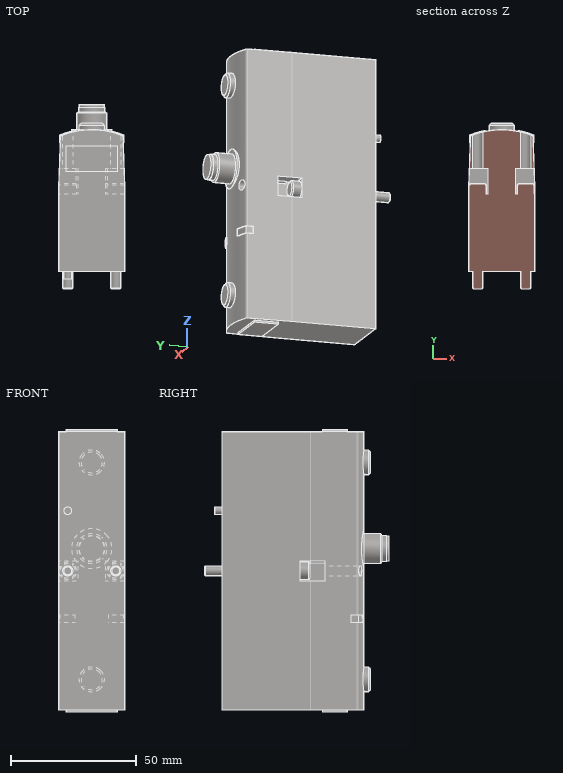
import cadquery as cq

WIDTH = 26.3
HEIGHT = 112.5
PLATE_THICKNESS = 0.8
BODY_HEIGHT = HEIGHT - 2 * PLATE_THICKNESS
HALF_WIDTH = WIDTH / 2

TAPER_START = 35.2
DOME_EDGE_Y = 54.1
DOME_EDGE_HALF_WIDTH = 12.5
DOME_EDGE_FILLET = 0.6
DOME_TOP_Y = 56.6

PLATE_WIDTH = 20.5
PLATE_LENGTH = 10.0
PLATE_Y = 45.0

SCREW_X = 9.6
SCREW_DIAMETER = 4.0
SCREW_LENGTH = 7.0
SCREW_CHAMFER = 0.5
HEAD_DIAMETER = 7.0
HEAD_HEIGHT = 4.0
HEAD_CHAMFER = 0.6
PIN_DIAMETER = 3.0
PIN_LENGTH = 2.9
PIN_Z = 24.0

POCKET_SIZE = 8.0
POCKET_LENGTH = 10.0
POCKET_START_Y = 31.0
ACCESS_DIAMETER = 4.0

CONNECTOR_Z = 8.9
SEAT_DIAMETER = 16.0
COLLAR_DIAMETER = 12.0
COLLAR_END_Y = 63.2
COLLAR_TAPER = 0.5
NECK_DIAMETER = 10.5
NECK_END_Y = 65.5
TIP_DIAMETER = 10.0
TIP_END_Y = 66.6

BUTTON_DIAMETER = 10.0
BUTTON_TOP_Y = 59.2
BUTTON_CHAMFER = 0.84
BUTTON_Z = 43.2

CLIP_THICKNESS = 0.3
CLIP_HEIGHT = 2.9
CLIP_Z = -19.0
CLIP_START_Y = 51.4
CLIP_INNER_X = 6.8


def body_block(height, offset=0.0):
    """Extruded body section, with the tapered sides and the dome pushed outwards by offset."""
    edge = DOME_EDGE_HALF_WIDTH + offset
    return (
        cq.Workplane("XY")
        .moveTo(-HALF_WIDTH, 0)
        .lineTo(HALF_WIDTH, 0)
        .lineTo(HALF_WIDTH, TAPER_START)
        .lineTo(edge, DOME_EDGE_Y + offset)
        .threePointArc((0, DOME_TOP_Y + offset), (-edge, DOME_EDGE_Y + offset))
        .lineTo(-HALF_WIDTH, TAPER_START)
        .close()
        .extrude(height / 2, both=True)
    )


def body():
    """Plain body with rounded edges between the dome and the sides."""
    edge_region = cq.selectors.BoxSelector(
        (-HALF_WIDTH, DOME_EDGE_Y - DOME_EDGE_FILLET, -BODY_HEIGHT),
        (HALF_WIDTH, DOME_EDGE_Y + DOME_EDGE_FILLET, BODY_HEIGHT),
    )
    return body_block(BODY_HEIGHT).edges("|Z").edges(edge_region).fillet(DOME_EDGE_FILLET)


def rod(diameter, start_y, end_y, x=0.0, z=0.0):
    """Cylinder along Y from start_y to end_y."""
    axis = cq.Vector(0, 1, 0)
    start = cq.Vector(x, start_y, z)
    return cq.Workplane(cq.Solid.makeCylinder(diameter / 2, end_y - start_y, start, axis))


def plates():
    """One slab through the body that stands proud at the top and bottom."""
    return cq.Workplane("XY").box(PLATE_WIDTH, PLATE_LENGTH, HEIGHT).translate((0, PLATE_Y, 0))


def pocket(x):
    """Open side pocket with a driver hole running out through the dome."""
    space = (
        cq.Workplane("XY")
        .box(POCKET_SIZE, POCKET_LENGTH, POCKET_SIZE)
        .translate((x, POCKET_START_Y + POCKET_LENGTH / 2, 0))
    )
    return space.union(rod(ACCESS_DIAMETER, POCKET_START_Y, DOME_TOP_Y, x))


def screw(x):
    """Screw through the body: chamfered tip in front, head inside the pocket."""
    shank = rod(SCREW_DIAMETER, -SCREW_LENGTH, POCKET_START_Y, x)
    shank = shank.faces("<Y").chamfer(SCREW_CHAMFER)
    head = rod(HEAD_DIAMETER, POCKET_START_Y, POCKET_START_Y + HEAD_HEIGHT, x)
    return shank.union(head.faces(">Y").chamfer(HEAD_CHAMFER))


def connector():
    """Round seat let into the dome, carrying a collar, a neck and a tip."""
    seat = rod(SEAT_DIAMETER, TAPER_START, DOME_TOP_Y, z=CONNECTOR_Z)
    collar = rod(COLLAR_DIAMETER, DOME_TOP_Y, COLLAR_END_Y, z=CONNECTOR_Z)
    taper = cq.Solid.makeCone(
        COLLAR_DIAMETER / 2,
        NECK_DIAMETER / 2,
        COLLAR_TAPER,
        cq.Vector(0, COLLAR_END_Y, CONNECTOR_Z),
        cq.Vector(0, 1, 0),
    )
    neck = rod(NECK_DIAMETER, COLLAR_END_Y, NECK_END_Y, z=CONNECTOR_Z)
    tip = rod(TIP_DIAMETER, NECK_END_Y, TIP_END_Y, z=CONNECTOR_Z)
    return seat.union(collar).union(cq.Workplane(taper)).union(neck).union(tip)


def button(z):
    """Chamfered round button standing on the dome."""
    return rod(BUTTON_DIAMETER, TAPER_START, BUTTON_TOP_Y, z=z).faces(">Y").chamfer(BUTTON_CHAMFER)


def clips():
    """Pair of clips that follow the body section around both back edges."""
    shell = body_block(CLIP_HEIGHT, CLIP_THICKNESS).translate((0, 0, CLIP_Z))
    clip_width = HALF_WIDTH - CLIP_INNER_X
    clip_length = DOME_TOP_Y - CLIP_START_Y
    center_x = CLIP_INNER_X + clip_width / 2
    center_y = CLIP_START_Y + clip_length / 2
    zone = (
        cq.Workplane("XY")
        .pushPoints([(-center_x, center_y), (center_x, center_y)])
        .rect(clip_width, clip_length)
        .extrude(BODY_HEIGHT / 2, both=True)
    )
    return shell.intersect(zone)


result = body().union(plates())
for screw_x in (-SCREW_X, SCREW_X):
    result = result.cut(pocket(screw_x)).union(screw(screw_x))
result = result.union(rod(PIN_DIAMETER, -PIN_LENGTH, 0, -SCREW_X, PIN_Z))
result = result.union(connector())
for button_z in (-BUTTON_Z, BUTTON_Z):
    result = result.union(button(button_z))
result = result.union(clips())